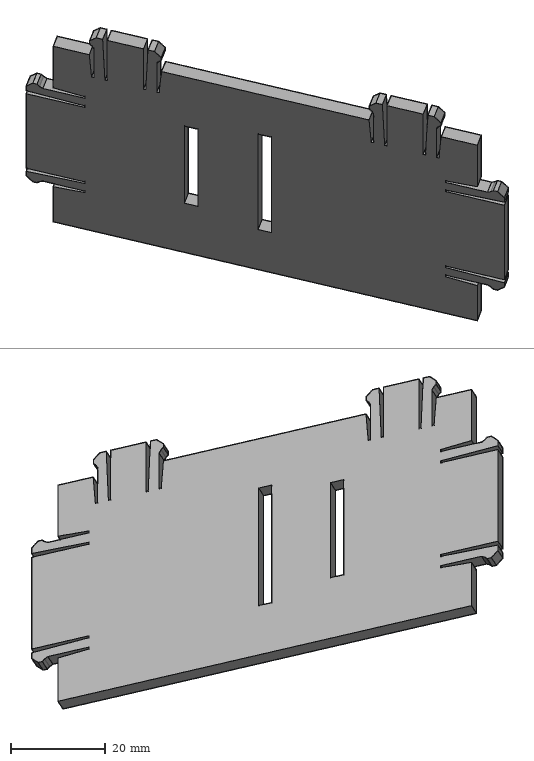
import cadquery as cq

overall_width = 106.0
overall_height = 63.0
thickness = 3.0
body_width = 94.0
tab_reach = (overall_width - body_width) / 2
body_height = overall_height - tab_reach

top_tab_spacing = 62.0
side_tab_z = 27.5

top_core_width = 8.1
side_core_width = 24.2
tip_gap = 1.0
root_gap = 0.5
arm_root_offset = 3.0
barb_offset = 3.9
root_clearance = root_gap
mouth_clearance = tip_gap
slit_depth = 13.0
tip_chamfer = 1.5
crest_end = 2.4
knee_end = 3.0
knee_drop = 0.5
barb_end = 3.7

slot_width = thickness
short_slot_x = -16.4
short_slot_length = 25.0
long_slot_x = -0.1
long_slot_length = 31.0


def plate(points):
    """Closed outline in X and Z, extruded to the thickness about Y = 0."""
    return cq.Workplane("XZ").polyline(points).close().extrude(thickness / 2, both=True)


def mirrored(points):
    """Outline reflected across the tab's centre line."""
    return [(-across, along) for across, along in points]


def spring_arm_outline(core_half):
    """Barbed arm on the +X side of an upright tab whose tip lies at Z = 0."""
    arm_side = core_half + arm_root_offset
    crest = core_half + barb_offset
    return [
        (core_half + root_gap, -slit_depth),
        (core_half + tip_gap, 0),
        (crest - tip_chamfer, 0),
        (crest, -tip_chamfer),
        (crest, -crest_end),
        (crest - knee_drop, -knee_end),
        (arm_side, -barb_end),
        (arm_side, -slit_depth),
    ]


def clearance_outline(core_half):
    """Room cut into the body from the core's side to the far side of the arm."""
    arm_side = core_half + arm_root_offset
    mouth_side = arm_side + mouth_clearance
    return [
        (core_half, -slit_depth),
        (core_half, 0),
        (mouth_side, 0),
        (mouth_side, -tab_reach),
        (arm_side + root_clearance, -slit_depth),
    ]


def add_tab(body, core_width, angle, tip_x, tip_z):
    """Add a tab pointing up, turned by angle about Y, with its tip at the given place."""
    core_half = core_width / 2

    def place(shape):
        turned = shape.rotate((0, 0, 0), (0, 1, 0), angle)
        return turned.translate((tip_x, 0, tip_z))

    arm = spring_arm_outline(core_half)
    clearance = clearance_outline(core_half)
    core = [
        (-core_half, -slit_depth),
        (-core_half, 0),
        (core_half, 0),
        (core_half, -slit_depth),
    ]
    for outline in (clearance, mirrored(clearance)):
        body = body.cut(place(plate(outline)))
    for outline in (core, arm, mirrored(arm)):
        body = body.union(place(plate(outline)))
    return body


def upright_slot(x, length):
    """Cutter for a slot through the full thickness, long enough in Y to pass both faces."""
    slot = cq.Workplane("XY").box(slot_width, 2 * thickness, length)
    return slot.translate((x, 0, body_height / 2))


result = cq.Workplane("XY").box(body_width, thickness, body_height)
result = result.translate((0, 0, body_height / 2))

for side in (-1, 1):
    result = add_tab(result, top_core_width, 0, side * top_tab_spacing / 2, overall_height)
    result = add_tab(result, side_core_width, side * 90, side * overall_width / 2, side_tab_z)

result = result.cut(upright_slot(short_slot_x, short_slot_length))
result = result.cut(upright_slot(long_slot_x, long_slot_length))